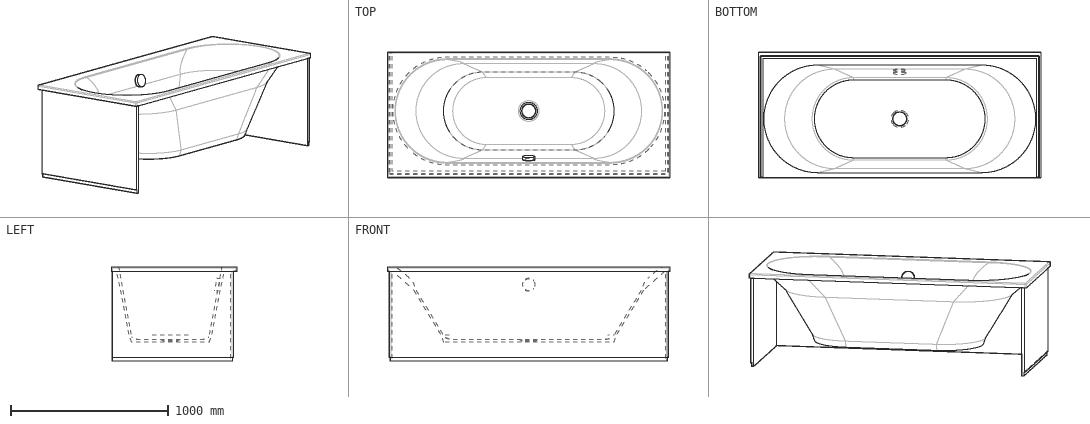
import cadquery as cq
import math

LENGTH = 1800.12
WIDTH = 800.27
HEIGHT = 600.12

RIM_THICKNESS = 29.0
RIM_RADIUS = 7.0
RIM_LIP_RADIUS = 6.0

BASIN_Y = 25.0
SHELL = 15.0
FLOOR_Z = 138.0
FLOOR_HALF_LENGTH = 484.0
FLOOR_HALF_WIDTH = 213.0
FOOT_Z = 165.0
FOOT_HALF_LENGTH = 543.0
FOOT_HALF_WIDTH = 248.0
WAIST_Z = 454.0
WAIST_HALF_LENGTH = 718.0
WAIST_HALF_WIDTH = 302.0
MOUTH_HALF_LENGTH = 850.0
MOUTH_HALF_WIDTH = 328.0
FLARE_POWER = 1.7
BLEND_STEPS = 4
FLARE_STEPS = 4

RECESS_TOP_DIAMETER = 132.0
RECESS_MIDDLE_DIAMETER = 110.0
RECESS_BOTTOM_DIAMETER = 90.0
RECESS_MIDDLE_DEPTH = 3.0
RECESS_DEPTH = 10.0
DRAIN_DIAMETER = 86.0
DRAIN_EDGE_HEIGHT = 6.0
DRAIN_DOME_HEIGHT = 4.0

OVERFLOW_DIAMETER = 80.0
OVERFLOW_THICKNESS = 18.0
OVERFLOW_SEAT = 3.0
OVERFLOW_Z = 485.0

APRON_THICKNESS = 20.0
APRON_END_INSET = 11.0
APRON_FRONT_INSET = 22.0
APRON_BACK_INSET = 5.0
APRON_CORNER_RADIUS = 11.0
PLINTH_HEIGHT = 23.0
PLINTH_INSET = 6.0

RIM_UNDERSIDE = HEIGHT - RIM_THICKNESS


def ring(z, half_length, half_width):
    """Wire of a round-ended slot at height z."""
    straight = half_length - half_width
    slot = (
        cq.Workplane("XY", origin=(0, BASIN_Y, z))
        .moveTo(-straight, -half_width)
        .lineTo(straight, -half_width)
        .threePointArc((half_length, 0), (straight, half_width))
        .lineTo(-straight, half_width)
        .threePointArc((-half_length, 0), (-straight, -half_width))
        .close()
    )
    return slot.val()


def between(start, end, fraction):
    """Value part of the way from start to end."""
    return start + (end - start) * fraction


def floor_blend():
    """Rounded transition from the flat floor to the foot of the walls."""
    rings = []
    for step in range(BLEND_STEPS + 1):
        angle = math.pi / 2 * step / BLEND_STEPS
        outward = math.sin(angle)
        rings.append(ring(
            between(FLOOR_Z, FOOT_Z, 1 - math.cos(angle)),
            between(FLOOR_HALF_LENGTH, FOOT_HALF_LENGTH, outward),
            between(FLOOR_HALF_WIDTH, FOOT_HALF_WIDTH, outward),
        ))
    return cq.Solid.makeLoft(rings)


def wall_flare():
    """Upper walls: the ends roll outward, the long sides stay straight."""
    rings = []
    for step in range(FLARE_STEPS + 1):
        rise = step / FLARE_STEPS
        rings.append(ring(
            between(WAIST_Z, HEIGHT, rise),
            between(WAIST_HALF_LENGTH, MOUTH_HALF_LENGTH, rise ** FLARE_POWER),
            between(WAIST_HALF_WIDTH, MOUTH_HALF_WIDTH, rise),
        ))
    return cq.Solid.makeLoft(rings)


def basin_cavity():
    """Hollow of the basin, from the floor up through the rim."""
    walls = cq.Solid.makeLoft([
        ring(FOOT_Z, FOOT_HALF_LENGTH, FOOT_HALF_WIDTH),
        ring(WAIST_Z, WAIST_HALF_LENGTH, WAIST_HALF_WIDTH),
    ], True)
    return cq.Workplane(floor_blend()).union(walls).union(wall_flare())


def basin_shell():
    """Outside of the basin below the rim, before it is hollowed."""
    outer = cq.Solid.makeLoft([
        ring(FLOOR_Z - SHELL, FOOT_HALF_LENGTH, FOOT_HALF_WIDTH),
        ring(FOOT_Z, FOOT_HALF_LENGTH + SHELL, FOOT_HALF_WIDTH + SHELL),
        ring(WAIST_Z, WAIST_HALF_LENGTH + SHELL, WAIST_HALF_WIDTH + SHELL),
        ring(RIM_UNDERSIDE, MOUTH_HALF_LENGTH + SHELL, MOUTH_HALF_WIDTH + SHELL),
    ], True)
    return cq.Workplane(outer)


def rim_slab():
    slab = (
        cq.Workplane("XY", origin=(0, 0, RIM_UNDERSIDE))
        .rect(LENGTH, WIDTH)
        .extrude(RIM_THICKNESS)
    )
    return slab.edges("|Z or >Z").fillet(RIM_RADIUS)


def drain_recess():
    """Dish in the floor, gentle then steep, with a flat seat for the drain cover."""
    return (
        cq.Workplane("XZ", origin=(0, BASIN_Y, FLOOR_Z))
        .lineTo(RECESS_TOP_DIAMETER / 2, 0)
        .lineTo(RECESS_MIDDLE_DIAMETER / 2, -RECESS_MIDDLE_DEPTH)
        .lineTo(RECESS_BOTTOM_DIAMETER / 2, -RECESS_DEPTH)
        .lineTo(0, -RECESS_DEPTH)
        .close()
        .revolve(360, (0, 0, 0), (0, 1, 0))
    )


def overflow_cover():
    """Disc lying against the sloping front wall, let slightly into it."""
    lean = math.atan2(WAIST_HALF_WIDTH - FOOT_HALF_WIDTH, WAIST_Z - FOOT_Z)
    wall_y = BASIN_Y - between(
        WAIST_HALF_WIDTH, MOUTH_HALF_WIDTH, (OVERFLOW_Z - WAIST_Z) / (HEIGHT - WAIST_Z)
    )
    facing = (0, math.cos(lean), math.sin(lean))
    seat = cq.Plane(origin=(0, wall_y, OVERFLOW_Z), xDir=(1, 0, 0), normal=facing)
    return (
        cq.Workplane(seat)
        .workplane(offset=-OVERFLOW_SEAT)
        .circle(OVERFLOW_DIAMETER / 2)
        .extrude(OVERFLOW_SEAT + OVERFLOW_THICKNESS)
    )


def drain_cover():
    """Round cover with a low dome, standing on the recess seat."""
    radius = DRAIN_DIAMETER / 2
    crown = DRAIN_EDGE_HEIGHT + DRAIN_DOME_HEIGHT
    sphere_radius = (radius ** 2 + DRAIN_DOME_HEIGHT ** 2) / (2 * DRAIN_DOME_HEIGHT)
    half_way = radius / 2
    half_way_height = crown - sphere_radius + math.sqrt(sphere_radius ** 2 - half_way ** 2)
    return (
        cq.Workplane("XZ", origin=(0, BASIN_Y, FLOOR_Z - RECESS_DEPTH))
        .lineTo(radius, 0)
        .lineTo(radius, DRAIN_EDGE_HEIGHT)
        .threePointArc((half_way, half_way_height), (0, crown))
        .close()
        .revolve(360, (0, 0, 0), (0, 1, 0))
    )


def tub():
    body = rim_slab().union(basin_shell()).cut(basin_cavity())
    margin = 2 * RIM_RADIUS
    mouth = cq.selectors.BoxSelector(
        (-LENGTH / 2 + margin, -WIDTH / 2 + margin, HEIGHT - RIM_LIP_RADIUS),
        (LENGTH / 2 - margin, WIDTH / 2 - margin, HEIGHT + RIM_LIP_RADIUS),
    )
    body = body.edges(mouth).fillet(RIM_LIP_RADIUS)
    return body.cut(drain_recess()).cut(overflow_cover())


def apron():
    """U-shaped panels standing on a recessed plinth."""
    half_length = LENGTH / 2 - APRON_END_INSET
    front = -WIDTH / 2 + APRON_FRONT_INSET
    back = WIDTH / 2 - APRON_BACK_INSET
    depth = back - front

    def block(inset, bottom, top):
        return cq.Workplane("XY").box(
            2 * (half_length - inset), depth - inset, top - bottom, centered=(True, False, False)
        ).translate((0, front + inset, bottom))

    panels = block(0, PLINTH_HEIGHT, RIM_UNDERSIDE).edges("|Z and <Y").fillet(APRON_CORNER_RADIUS)
    plinth = block(PLINTH_INSET, 0, PLINTH_HEIGHT)
    room = block(APRON_THICKNESS, 0, RIM_UNDERSIDE)
    return panels.union(plinth).cut(room)


result = cq.Compound.makeCompound([
    tub().val(),
    apron().val(),
    drain_cover().val(),
    overflow_cover().val(),
])